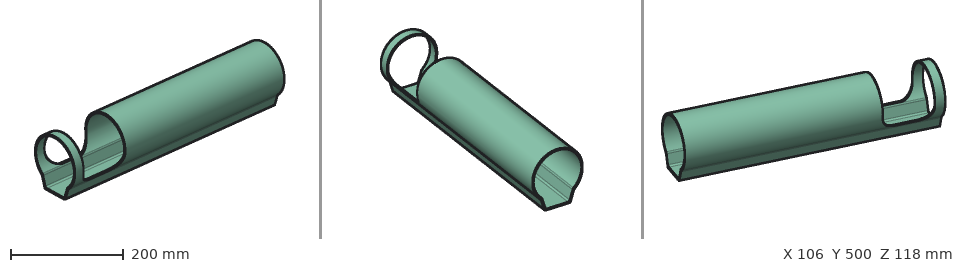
import cadquery as cq
import math

length = 500.0
wall = 3.0
tube_radius = 53.0
floor_depth = 65.0

foot_half_width = 27.0
leg_angle = math.radians(17.5)
foot_corner_radius = 4.0
neck_radius = 7.0

front_ring_length = 20.0
window_length = 100.0
window_bottom = -36.0
window_corner_radius = 30.0


def foot_section(inset):
    """Trapezoid reaching up into the tube, with its faces moved inwards by inset."""
    bottom = -floor_depth + inset
    leg_shift = inset / math.cos(leg_angle)
    bottom_half = foot_half_width + inset * math.tan(leg_angle) - leg_shift
    top = bottom + floor_depth / 2
    top_half = bottom_half + (top - bottom) * math.tan(leg_angle)
    return [(-bottom_half, bottom), (bottom_half, bottom), (top_half, top), (-top_half, top)]


def keyhole_bar(inset):
    """Solid bar with the round-and-foot section, running along +Y from the XZ plane."""
    tube = cq.Workplane("XZ").circle(tube_radius - inset).extrude(-length)
    foot = cq.Workplane("XZ").polyline(foot_section(inset)).close().extrude(-length)
    bar = tube.union(foot)

    floor_edges = cq.selectors.BoxSelector(
        (-tube_radius, 0, -floor_depth - wall),
        (tube_radius, length, -floor_depth + inset + wall / 2),
    )
    bar = bar.edges("|Y").edges(floor_edges).fillet(foot_corner_radius)

    neck_edges = cq.selectors.BoxSelector(
        (-tube_radius, 0, -tube_radius),
        (tube_radius, length, -tube_radius / 2),
    )
    return bar.edges("|Y").edges(neck_edges).fillet(neck_radius)


def window_cutter():
    """Block with rounded lower corners, open above the tube."""
    height = tube_radius + wall - window_bottom
    return (
        cq.Workplane("XY")
        .box(2 * tube_radius + wall, window_length, height, centered=(True, False, False))
        .edges("|X and <Z")
        .fillet(window_corner_radius)
        .translate((0, front_ring_length, window_bottom))
    )


shell = keyhole_bar(0).cut(keyhole_bar(wall))
result = shell.cut(window_cutter())